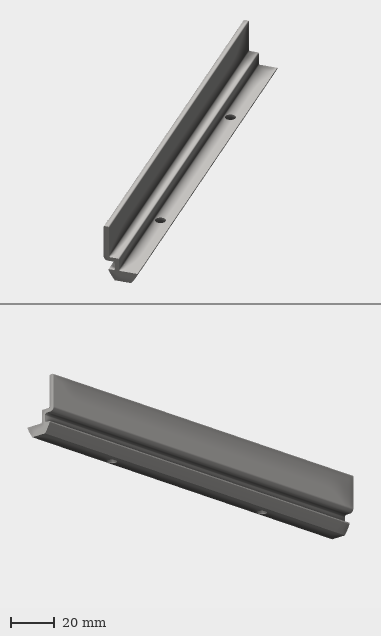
import cadquery as cq

length = 200.0
total_width = 16.5
total_height = 27.8
plate_thickness = 2.5
web_thickness = 2.0
shelf_top = 11.8
neck_right = 7.5
edge_radius = 0.5
outer_bend_radius = 2.0
inner_bend_radius = 1.0

foot_left = 2.5
foot_height = 5.5
foot_base_width = 8.0
foot_lip = 0.5
side_bulge = 0.15

hole_diameter = 5.0
hole_x = 10.5
hole_spacing = 100.0

cut_margin = 2.0


def extrude_along_length(profile):
    """Extrude an XZ profile symmetrically about Y = 0."""
    return profile.extrude(length / 2, both=True)


def round_edge(solid, x, z, radius):
    """Fillet the lengthwise edge passing through (x, z)."""
    edge = cq.selectors.NearestToPointSelector((x, 0, z))
    return solid.edges("|Y").edges(edge).fillet(radius)


def bracket():
    """Upright plate, shelf and neck forming a Z-shaped section."""
    neck_left = neck_right - web_thickness
    shelf_bottom = shelf_top - web_thickness
    outline = (
        cq.Workplane("XZ")
        .moveTo(0, total_height)
        .lineTo(plate_thickness, total_height)
        .lineTo(plate_thickness, shelf_top)
        .lineTo(neck_right, shelf_top)
        .lineTo(neck_right, foot_height)
        .lineTo(neck_left, foot_height)
        .lineTo(neck_left, shelf_bottom)
        .lineTo(0, shelf_bottom)
        .close()
    )
    body = extrude_along_length(outline)
    body = round_edge(body, 0, shelf_bottom, outer_bend_radius)
    body = round_edge(body, neck_left, shelf_bottom, inner_bend_radius)
    body = round_edge(body, neck_right, shelf_top, edge_radius)
    body = round_edge(body, 0, total_height, edge_radius)
    body = round_edge(body, plate_thickness, shelf_top, edge_radius)
    return round_edge(body, plate_thickness, total_height, edge_radius)


def foot():
    """Symmetric foot with convex flanks narrowing towards the base."""
    center = (foot_left + total_width) / 2
    base_left = center - foot_base_width / 2
    base_right = center + foot_base_width / 2
    flank_top = foot_height - foot_lip
    run = base_left - foot_left
    chord = (run**2 + flank_top**2) ** 0.5
    bulge_x = side_bulge * flank_top / chord
    mid_offset = run / 2 - bulge_x
    mid_z = flank_top / 2 - side_bulge * run / chord
    outline = (
        cq.Workplane("XZ")
        .moveTo(foot_left, foot_height)
        .lineTo(total_width, foot_height)
        .lineTo(total_width, flank_top)
        .threePointArc((total_width - mid_offset, mid_z), (base_right, 0))
        .lineTo(base_left, 0)
        .threePointArc((foot_left + mid_offset, mid_z), (foot_left, flank_top))
        .close()
    )
    return extrude_along_length(outline)


def holes():
    """Pair of vertical cutters through the foot."""
    return (
        cq.Workplane("XY", origin=(hole_x, 0, -cut_margin))
        .pushPoints([(0, -hole_spacing / 2), (0, hole_spacing / 2)])
        .circle(hole_diameter / 2)
        .extrude(foot_height + 2 * cut_margin)
    )


rail = bracket().union(foot())
for neck_side in (neck_right - web_thickness, neck_right):
    rail = round_edge(rail, neck_side, foot_height, edge_radius)

result = rail.cut(holes())